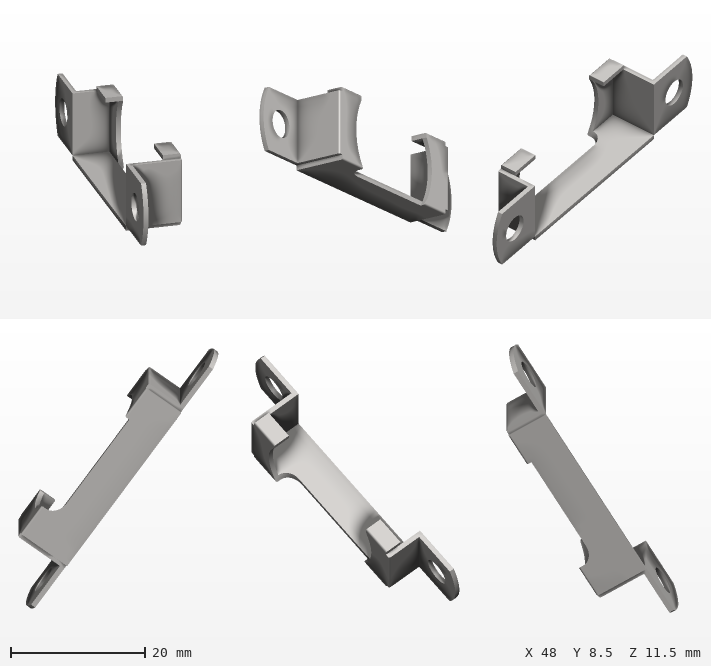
import cadquery as cq
import math

overall_length = 47.95
sheet = 0.75
wall_height = 9.95
bend_radius = 0.3

inner_half_width = 14.53
outer_half_width = inner_half_width + sheet
shallow_depth = 6.45
deep_depth = 8.5
base_depth = shallow_depth - sheet

tab_end = 9.7
lip_depth = 2.8
notch_radius = 2.0

ear_hole_offset = 19.5
ear_hole_diameter = 4.25

arc_radius = wall_height
half_length = overall_length / 2
half_height = wall_height / 2
base_bottom = -half_height - sheet
tab_arc_center = tab_end - math.sqrt(arc_radius**2 - half_height**2)


def box(x_range, y_range, z_range):
    """Axis-aligned block between the given limits."""
    (x0, x1), (y0, y1), (z0, z1) = x_range, y_range, z_range
    return cq.Workplane("XY").box(x1 - x0, y1 - y0, z1 - z0, centered=False).translate((x0, y0, z0))


def cylinder_along_y(x, radius, depth):
    """Cylinder running from the front face (Y = 0) backwards."""
    return cq.Workplane("XZ").center(x, 0).circle(radius).extrude(-depth)


def ear():
    """Mounting ear with a rounded end and a through hole."""
    plate = box((inner_half_width, half_length), (0, sheet), (-half_height, half_height))
    rounded_end = cylinder_along_y(half_length - arc_radius, arc_radius, sheet)
    hole = cylinder_along_y(ear_hole_offset, ear_hole_diameter / 2, sheet)
    return plate.intersect(rounded_end).cut(hole)


def side_wall(depth):
    """Side wall with its outer back corner rounded by the bend."""
    wall = box((inner_half_width, outer_half_width), (0, depth), (-half_height, half_height))
    return wall.edges("|Z and >X and >Y").fillet(bend_radius)


def lip(depth):
    """Lip folded forward over the top of the back tab."""
    block = box(
        (tab_end, inner_half_width),
        (depth - lip_depth, depth),
        (half_height, half_height + sheet),
    )
    return block.edges("|X and >Y and >Z").fillet(bend_radius)


def tab_opening(depth):
    """Round opening that shapes the inner edge of the tab and heel."""
    return cylinder_along_y(tab_arc_center, arc_radius, depth)


def base(depth):
    """Half of the base strip, with a heel reaching back under the tab and its arc carried through."""
    strip = box((0, inner_half_width), (0, base_depth), (base_bottom, -half_height))
    heel = box((0, inner_half_width), (base_depth, depth), (base_bottom, -half_height))
    heel = heel.edges("|X and >Y and <Z").fillet(bend_radius)
    return strip.union(heel.cut(tab_opening(depth)))


def back_tab(depth):
    """Upright tab closing the back of the cradle, with a concave inner edge."""
    tab = box((0, inner_half_width), (depth - sheet, depth), (-half_height, half_height))
    return tab.cut(tab_opening(depth))


def notch_fillet():
    """Concave fillet swept around the opening, kept only within the base sheet."""
    inner_radius = arc_radius - notch_radius
    arc_offset = notch_radius * math.sqrt(0.5)
    ring = (
        cq.Workplane("XY")
        .moveTo(arc_radius, base_depth)
        .lineTo(inner_radius, base_depth)
        .threePointArc(
            (inner_radius + arc_offset, base_depth + notch_radius - arc_offset),
            (arc_radius, base_depth + notch_radius),
        )
        .close()
        .revolve(360, (0, 0, 0), (0, 1, 0))
        .translate((tab_arc_center, 0, 0))
    )
    return ring.intersect(box((0, inner_half_width), (0, deep_depth), (base_bottom, -half_height)))


def half_bracket(depth):
    """Everything on the +X side for a given cradle depth."""
    return base(depth).union(back_tab(depth)).union(side_wall(depth)).union(lip(depth)).union(ear())


deep_side = half_bracket(deep_depth).union(notch_fillet())
shallow_side = half_bracket(shallow_depth).mirror("YZ")
result = deep_side.union(shallow_side)